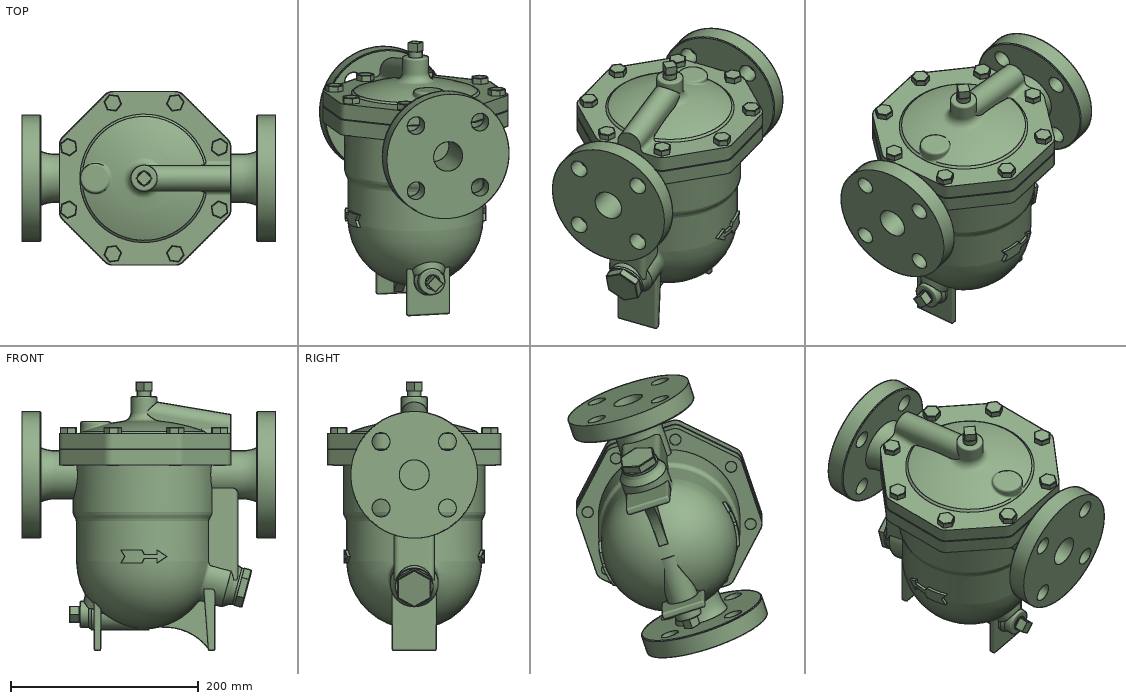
import cadquery as cq
import math


face_to_face = 270.0
bottom_z = -187.2
body_x = -5.0

flange_dia = 135.0
flange_thick = 20.0
flange_edge_chamfer = 1.0
flange_hole_dia = 19.0
flange_bolt_circle = 100.0
bore_dia = 32.0
bore_depth = 55.0
neck_dia = 51.4
flare_length = 14.5
flare_root_dia = 58.0

joint_half_width = 92.5
joint_left_x = -95.2
joint_corner_radius = 12.0
joint_bottom_z = 10.5
joint_top_z = 44.2
gasket_z = 27.3
gasket_thick = 0.8
gasket_inset = 0.5
bolt_count = 8
bolt_circle_radius = 87.0
bolt_head_corners = 18.8
bolt_head_height = 6.4
bolt_head_chamfer = 0.6
bolt_shank_dia = 12.0
bolt_end_projection = 0.8

band_radius = 75.5
band_bottom_z = -41.5
shell_radius = 72.0
shell_top_z = -48.2
band_fillet = 6.0
equator_z = -92.0

dome_rim_radius = 68.4
dome_radius = 66.0
dome_base_z = 46.3
dome_shoulder_z = 57.0
stem_radius = 14.0
stem_root_radius = 23.0
stem_root_top_z = 66.8
stem_top_z = 83.3
stem_edge_fillet = 2.0
plug_square = 12.0
stem_plug_radius = 7.3
stem_plug_neck = 6.2
stem_plug_head = 9.3

cap_x = -56.7
cap_radius = 16.0
cap_top_z = 56.9
cap_fillet = 2.5
cap_root_fillet = 2.0

passage_radius = 13.7
passage_slope = 9.6
passage_end_z = 50.4
passage_foot_half_width = 18.0
passage_foot_start_x = 56.0
passage_foot_top_z = 50.4

duct_outer_x = 95.3
duct_half_width = 21.5
duct_bottom_z = -112.0
duct_corner_radius = 5.7

outlet_slope = 15.0
outlet_boss_radius = 25.5
outlet_boss_reach = 92.3
outlet_boss_fillet = 5.0
outlet_taper_radius = 21.5
outlet_taper_reach = 98.3
outlet_collar_radius = 20.0
outlet_collar_start = 102.5
outlet_collar_reach = 105.0
outlet_hex_corners = 41.0
outlet_hex_reach = 113.4
outlet_hex_chamfer = 0.8

drain_z = -148.5
drain_face_x = -73.0
drain_radius = 14.0
drain_edge_fillet = 1.5
drain_step_x = -64.2
drain_root_x = -60.7
drain_root_radius = 16.6
drain_root_end_x = 0.0
drain_flare_slope = 45.0
drain_flare_tip_reach = 77.0
drain_flare_tip_radius = 14.5
drain_flare_base_reach = 67.0
drain_flare_base_radius = 20.5
drain_plug_radius = 8.0
drain_plug_neck = 1.2
drain_plug_head = 10.0

foot_thick = 7.0
foot_half_width = 23.5
foot_edge_fillet = 2.0
left_foot_x = -58.1
left_foot_top_z = -136.0
right_foot_outer_x = 70.5
right_foot_top_z = -121.5
right_foot_draft_run = 5.0
web_thick = 10.0
web_start_x = 14.0
web_start_z = -162.5
web_mid_x = 45.8
web_mid_z = -169.8

arrow_face_radius = 75.0
arrow_z = -87.0
arrow_tail_x = -29.8
arrow_notch_x = -25.5
arrow_feather_x = -7.3
arrow_shaft_x = -4.8
arrow_head_x = 9.0
arrow_tip_x = 19.3
arrow_half_height = 6.9
arrow_shaft_half = 2.3

selection_margin = 1.0

half_length = face_to_face / 2
flange_back_x = half_length - flange_thick
joint_right_x = body_x + joint_half_width


def cylinder_x(x_start, x_end, radius, z):
    """Solid cylinder parallel to X."""
    return cq.Workplane("YZ", origin=(x_start, 0, z)).circle(radius).extrude(x_end - x_start)


def revolve_on_body_axis(profile):
    """Revolve a closed (radius, z) profile about the vertical body axis."""
    return profile.close().revolve(360, (0, 0, 0), (0, 1, 0)).translate((body_x, 0, 0))


def vessel():
    """Stepped cylindrical shell with a hemispherical bottom."""
    diagonal = shell_radius * math.sqrt(0.5)
    profile = (
        cq.Workplane("XZ")
        .moveTo(0, joint_bottom_z)
        .lineTo(band_radius, joint_bottom_z)
        .lineTo(band_radius, band_bottom_z)
        .lineTo(shell_radius, shell_top_z)
        .lineTo(shell_radius, equator_z)
        .threePointArc((diagonal, equator_z - diagonal), (0, equator_z - shell_radius))
    )
    shell = revolve_on_body_axis(profile)
    step_middle_z = (band_bottom_z + shell_top_z) / 2
    step_half = (band_bottom_z - shell_top_z) / 2 + selection_margin
    step_box = cq.selectors.BoxSelector(
        (body_x - 2 * band_radius, -2 * band_radius, step_middle_z - step_half),
        (body_x + 2 * band_radius, 2 * band_radius, step_middle_z + step_half),
    )
    return shell.edges("%CIRCLE").edges(step_box).fillet(band_fillet)


def joint_slab(z_start, z_end, inset):
    """Slice of the octagonal joint, round-cornered and slightly cut back on the left."""
    half = joint_half_width - inset
    left = joint_left_x - body_x + inset
    corner = half * math.tan(math.pi / 8)
    left_corner = half * math.sqrt(2) + left
    outline = [
        (left, -left_corner),
        (-corner, -half),
        (corner, -half),
        (half, -corner),
        (half, corner),
        (corner, half),
        (-corner, half),
        (left, left_corner),
    ]
    slab = cq.Workplane("XY", origin=(body_x, 0, z_start)).polyline(outline).close()
    return slab.extrude(z_end - z_start).edges("|Z").fillet(joint_corner_radius)


def bolted_joint():
    gasket_bottom_z = gasket_z - gasket_thick / 2
    gasket_top_z = gasket_z + gasket_thick / 2
    joint = joint_slab(joint_bottom_z, gasket_bottom_z, 0)
    joint = joint.union(joint_slab(gasket_bottom_z, gasket_top_z, gasket_inset))
    joint = joint.union(joint_slab(gasket_top_z, joint_top_z, 0))
    head = (
        cq.Workplane("XY", origin=(bolt_circle_radius, 0, joint_top_z))
        .polygon(6, bolt_head_corners)
        .extrude(bolt_head_height)
        .faces(">Z")
        .chamfer(bolt_head_chamfer)
    )
    shank_length = joint_top_z - joint_bottom_z + bolt_end_projection
    shank = (
        cq.Workplane("XY", origin=(bolt_circle_radius, 0, joint_top_z))
        .circle(bolt_shank_dia / 2)
        .extrude(-shank_length)
    )
    bolt = head.union(shank)
    pitch = 360 / bolt_count
    for i in range(bolt_count):
        angle = (i + 0.5) * pitch
        joint = joint.union(bolt.rotate((0, 0, 0), (0, 0, 1), angle).translate((body_x, 0, 0)))
    return joint


def cover_dome():
    """Spherical cover that sweeps up into the central stem."""
    middle_radius = (dome_radius + stem_root_radius) / 2
    rise = dome_shoulder_z - dome_base_z
    span = dome_radius**2 - stem_root_radius**2
    middle_z = dome_base_z + rise * (dome_radius**2 - middle_radius**2) / span
    sweep = 1 - math.sqrt(0.5)
    root_width = stem_root_radius - stem_radius
    root_height = stem_root_top_z - dome_shoulder_z
    root_middle = (stem_radius + root_width * sweep, dome_shoulder_z + root_height * sweep)
    profile = (
        cq.Workplane("XZ")
        .moveTo(0, joint_top_z)
        .lineTo(dome_rim_radius, joint_top_z)
        .lineTo(dome_radius, dome_base_z)
        .threePointArc((middle_radius, middle_z), (stem_root_radius, dome_shoulder_z))
        .threePointArc(root_middle, (stem_radius, stem_root_top_z))
        .lineTo(stem_radius, stem_top_z)
        .lineTo(0, stem_top_z)
    )
    return revolve_on_body_axis(profile).faces(">Z").edges().fillet(stem_edge_fillet)


def square_plug(neck_radius, neck_length, head_length):
    """Plug along +Z: round neck, then a square head with its corners on the X and Y axes."""
    neck = cq.Workplane("XY").circle(neck_radius).extrude(neck_length)
    head = (
        cq.Workplane("XY", origin=(0, 0, neck_length))
        .polygon(4, plug_square * math.sqrt(2))
        .extrude(head_length)
    )
    return neck.union(head)


def cap_boss():
    boss = cq.Workplane("XY", origin=(cap_x, 0, joint_top_z)).circle(cap_radius)
    return boss.extrude(cap_top_z - joint_top_z).faces(">Z").edges().fillet(cap_fillet)


def cover_passage():
    """Round-topped passage that slopes from the stem to the right edge of the cover."""
    run = joint_right_x - body_x
    axis_start_z = passage_end_z + run * math.tan(math.radians(passage_slope))
    overrun = 2 * passage_radius
    length = run + overrun
    depth = axis_start_z - gasket_z
    pipe = cylinder_x(0, length, passage_radius, 0)
    web = cq.Workplane("XY").box(
        length, 2 * passage_radius, depth, centered=(False, True, False)
    ).translate((0, 0, -depth))
    sloped = pipe.union(web).rotate((0, 0, 0), (0, 1, 0), passage_slope)
    sloped = sloped.translate((body_x, 0, axis_start_z))
    limit = cq.Workplane("XY", origin=(body_x, 0, joint_top_z)).rect(2 * run, 2 * run)
    sloped = sloped.intersect(limit.extrude(stem_top_z - joint_top_z))
    hollow = math.sqrt(0.5)
    foot_spread = passage_foot_half_width - passage_radius
    foot_height = passage_foot_top_z - joint_top_z
    hollow_y = passage_foot_half_width - foot_spread * hollow
    hollow_z = passage_foot_top_z - foot_height * hollow
    foot = (
        cq.Workplane("YZ", origin=(passage_foot_start_x, 0, 0))
        .moveTo(-passage_foot_half_width, joint_top_z)
        .threePointArc((-hollow_y, hollow_z), (-passage_radius, passage_foot_top_z))
        .lineTo(passage_radius, passage_foot_top_z)
        .threePointArc((hollow_y, hollow_z), (passage_foot_half_width, joint_top_z))
        .close()
        .extrude(joint_right_x - passage_foot_start_x)
    )
    return sloped.union(foot)


def pipe_end():
    """Right-hand neck and flange, reaching inward to the pipe centre."""
    neck_radius = neck_dia / 2
    flare_start_x = flange_back_x - flare_length
    flare_step = flare_root_dia / 2 - neck_radius
    flare_middle = (flare_start_x + flare_length / 2, neck_radius + flare_step / 4)
    end = (
        cq.Workplane("XY")
        .lineTo(0, neck_radius)
        .lineTo(flare_start_x, neck_radius)
        .threePointArc(flare_middle, (flange_back_x, flare_root_dia / 2))
        .lineTo(flange_back_x, 0)
        .close()
        .revolve(360, (0, 0, 0), (1, 0, 0))
    )
    flange = cylinder_x(flange_back_x, half_length, flange_dia / 2, 0)
    return end.union(flange.faces("<X").edges().chamfer(flange_edge_chamfer))


def pipe_end_cuts():
    """Bore and bolt holes of the right-hand flange."""
    cuts = cylinder_x(half_length - bore_depth, half_length, bore_dia / 2, 0)
    offset = flange_bolt_circle / 2 * math.sqrt(0.5)
    holes = (
        cq.Workplane("YZ", origin=(flange_back_x, 0, 0))
        .rect(2 * offset, 2 * offset, forConstruction=True)
        .vertices()
        .circle(flange_hole_dia / 2)
        .extrude(flange_thick)
    )
    return cuts.union(holes)


def outlet_duct():
    duct = cq.Workplane("XY").box(
        duct_outer_x - body_x, 2 * duct_half_width, -duct_bottom_z, centered=(False, True, False)
    ).translate((body_x, 0, duct_bottom_z))
    return duct.edges("|Z and >X").fillet(duct_corner_radius)


def along_outlet(shape):
    """Place a shape built along +X onto the inclined axis through the sphere centre."""
    return shape.rotate((0, 0, 0), (0, 1, 0), outlet_slope).translate((body_x, 0, equator_z))


def vessel_with_outlet_boss():
    """Vessel and inclined boss, blended where the boss leaves the sphere."""
    boss = along_outlet(cylinder_x(0, outlet_boss_reach, outlet_boss_radius, 0))
    joined = vessel().union(boss)
    seam_reach = math.sqrt(shell_radius**2 - outlet_boss_radius**2)
    slope = math.radians(outlet_slope)
    seam_x = body_x + seam_reach * math.cos(slope)
    seam_z = equator_z - seam_reach * math.sin(slope)
    seam = joined.edges(cq.selectors.NearestToPointSelector((seam_x, 0, seam_z)))
    return seam.fillet(outlet_boss_fillet)


def outlet_plug():
    profile = (
        cq.Workplane("XY")
        .moveTo(outlet_boss_reach, 0)
        .lineTo(outlet_boss_reach, outlet_boss_radius)
        .lineTo(outlet_taper_reach, outlet_taper_radius)
        .lineTo(outlet_collar_start, outlet_collar_radius)
        .lineTo(outlet_collar_reach, outlet_collar_radius)
        .lineTo(outlet_collar_reach, 0)
        .close()
        .revolve(360, (0, 0, 0), (1, 0, 0))
    )
    hexagon = (
        cq.Workplane("YZ", origin=(outlet_collar_reach, 0, 0))
        .polygon(6, outlet_hex_corners)
        .extrude(outlet_hex_reach - outlet_collar_reach)
        .faces(">X")
        .chamfer(outlet_hex_chamfer)
        .rotate((0, 0, 0), (1, 0, 0), 90)
    )
    return along_outlet(profile.union(hexagon))


def drain_boss():
    """Stepped boss under the sphere, blended into it by a radial cone, with a square-headed plug."""
    boss = cylinder_x(drain_face_x, drain_step_x, drain_radius, drain_z)
    boss = boss.faces("<X").edges().fillet(drain_edge_fillet)
    root = (
        cq.Workplane("XY")
        .moveTo(drain_step_x, 0)
        .lineTo(drain_step_x, drain_radius)
        .lineTo(drain_root_x, drain_root_radius)
        .lineTo(drain_root_end_x, drain_root_radius)
        .lineTo(drain_root_end_x, 0)
        .close()
        .revolve(360, (0, 0, 0), (1, 0, 0))
        .translate((0, 0, drain_z))
    )
    flare = (
        cq.Workplane("XY")
        .moveTo(drain_flare_base_reach, 0)
        .lineTo(drain_flare_base_reach, drain_flare_base_radius)
        .lineTo(drain_flare_tip_reach, drain_flare_tip_radius)
        .lineTo(drain_flare_tip_reach, 0)
        .close()
        .revolve(360, (0, 0, 0), (1, 0, 0))
        .rotate((0, 0, 0), (0, 1, 0), 180 - drain_flare_slope)
        .translate((body_x, 0, equator_z))
    )
    plug = square_plug(drain_plug_radius, drain_plug_neck, drain_plug_head)
    plug = plug.rotate((0, 0, 0), (0, 1, 0), -90).translate((drain_face_x, 0, drain_z))
    return boss.union(root).union(flare).union(plug)


def left_foot():
    foot = cq.Workplane("XY").box(
        foot_thick, 2 * foot_half_width, left_foot_top_z - bottom_z, centered=(False, True, False)
    ).translate((left_foot_x, 0, bottom_z))
    return foot.edges("|Z or <Z").fillet(foot_edge_fillet)


def right_foot():
    """Foot plate with a drafted inner face, stiffened by a web with an arched lower edge."""
    inner_x = right_foot_outer_x - foot_thick
    foot = (
        cq.Workplane("XZ", origin=(0, foot_half_width, 0))
        .moveTo(right_foot_outer_x, bottom_z)
        .lineTo(right_foot_outer_x, right_foot_top_z)
        .lineTo(inner_x - right_foot_draft_run, right_foot_top_z)
        .lineTo(inner_x, bottom_z)
        .close()
        .extrude(2 * foot_half_width)
    )
    foot = foot.faces("<Z or <Y or >Y").edges("not >Z").fillet(foot_edge_fillet)
    web = (
        cq.Workplane("XZ", origin=(0, web_thick / 2, 0))
        .moveTo(web_start_x, web_start_z)
        .threePointArc((web_mid_x, web_mid_z), (inner_x, bottom_z + foot_edge_fillet))
        .lineTo(inner_x, right_foot_top_z)
        .lineTo(web_start_x, right_foot_top_z)
        .close()
        .extrude(web_thick)
    )
    return foot.union(web)


def flow_arrows():
    """Raised arrows on both sides of the shell, pointing to the outlet."""
    half_outline = [
        (arrow_notch_x, 0),
        (arrow_tail_x, arrow_half_height),
        (arrow_feather_x, arrow_half_height),
        (arrow_shaft_x, arrow_shaft_half),
        (arrow_head_x, arrow_shaft_half),
        (arrow_head_x, arrow_half_height),
        (arrow_tip_x, 0),
    ]
    lower = [(x, -z) for x, z in reversed(half_outline[1:-1])]
    arrows = (
        cq.Workplane("XZ", origin=(0, 0, arrow_z))
        .polyline(half_outline + lower)
        .close()
        .extrude(arrow_face_radius, both=True)
    )
    limit = cq.Workplane("XY", origin=(body_x, 0, arrow_z - arrow_half_height)).circle(arrow_face_radius)
    return arrows.intersect(limit.extrude(2 * arrow_half_height))


def mirrored_in_x(shape):
    return shape.mirror("YZ")


def cover():
    """Bolted joint, dome and blind boss, with the foot of the boss blended in."""
    body = bolted_joint().union(cover_dome()).union(cap_boss())
    reach = cap_radius + selection_margin
    highest_z = cap_top_z - cap_fillet - selection_margin / 2
    root_box = cq.selectors.BoxSelector(
        (cap_x - reach, -reach, joint_top_z), (cap_x + reach, reach, highest_z)
    )
    return body.edges(root_box).edges("not %LINE").fillet(cap_root_fillet)


stem_plug = square_plug(stem_plug_radius, stem_plug_neck, stem_plug_head)

result = vessel_with_outlet_boss()
features = [
    cover(),
    cover_passage(),
    stem_plug.translate((body_x, 0, stem_top_z)),
    pipe_end(),
    mirrored_in_x(pipe_end()),
    outlet_duct(),
    outlet_plug(),
    drain_boss(),
    left_foot(),
    right_foot(),
    flow_arrows(),
]
for feature in features:
    result = result.union(feature)

result = result.cut(pipe_end_cuts()).cut(mirrored_in_x(pipe_end_cuts()))